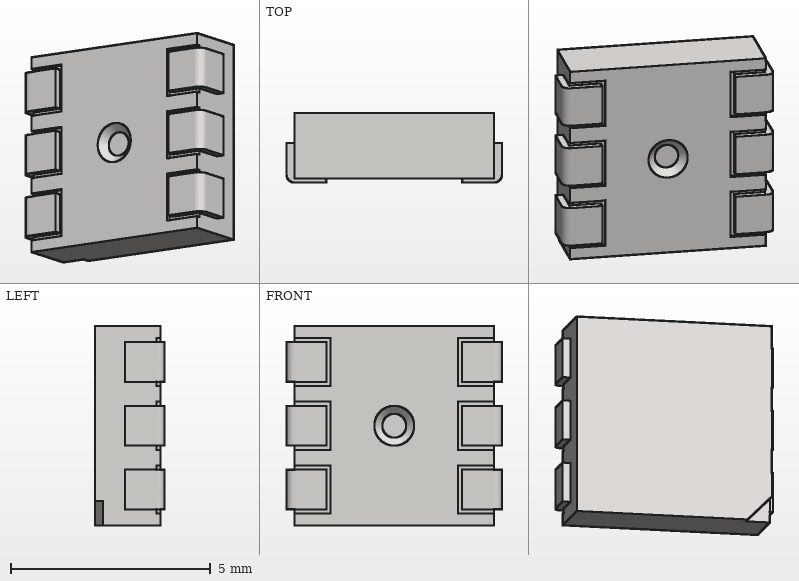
import cadquery as cq

overall_width = 5.4
housing_size = 5.0
overall_depth = 1.75

lead_thickness = (overall_width - housing_size) / 2
lead_length = 1.0
lead_pitch = 1.6
lead_rows = 3
bend_radius = lead_thickness

recess_depth = lead_thickness / 2
recess_clearance = 0.1
recess_length = lead_length - lead_thickness + recess_clearance
recess_width = lead_length + 2 * recess_clearance

dimple_diameter = lead_length
dimple_floor_diameter = 0.6
dimple_depth = lead_thickness

mark_leg = 0.615
mark_depth = 0.21

foot_height = lead_thickness - recess_depth
housing_depth = overall_depth - foot_height
housing_edge = housing_size / 2
row_heights = [(row - (lead_rows - 1) / 2) * lead_pitch for row in range(lead_rows)]
sides = (-1, 1)


def make_recess(side, height):
    """Shallow pocket, open at the housing side, for one lead foot."""
    recess = cq.Workplane("XY").box(recess_length, recess_depth, recess_width)
    return recess.translate((side * (housing_edge - recess_length / 2), recess_depth / 2, height))


def make_dimple():
    """Truncated cone that narrows into the housing."""
    return cq.Workplane(cq.Solid.makeCone(
        dimple_diameter / 2,
        dimple_floor_diameter / 2,
        dimple_depth,
        pnt=cq.Vector(0, 0, 0),
        dir=cq.Vector(0, 1, 0),
    ))


def make_corner_mark():
    """Triangular cut at the lower -X corner of the back face."""
    return (
        cq.Workplane("XZ", origin=(-housing_edge, housing_depth, -housing_edge))
        .polyline([(0, 0), (mark_leg, 0), (0, mark_leg)])
        .close()
        .extrude(mark_depth)
    )


def make_housing():
    """Square block with lead recesses, a central dimple and a corner mark."""
    housing = (
        cq.Workplane("XY")
        .box(housing_size, housing_depth, housing_size)
        .translate((0, housing_depth / 2, 0))
    )
    for side in sides:
        for height in row_heights:
            housing = housing.cut(make_recess(side, height))
    return housing.cut(make_dimple()).cut(make_corner_mark())


def make_lead(side, height):
    """L-shaped lead with one leg on the housing side and a foot in its recess."""
    outer_x = side * overall_width / 2
    inner_x = side * housing_edge
    foot_end_x = side * (overall_width / 2 - lead_length)
    front_y = -foot_height
    outline = [
        (outer_x, front_y),
        (foot_end_x, front_y),
        (foot_end_x, recess_depth),
        (inner_x, recess_depth),
        (inner_x, front_y + lead_length),
        (outer_x, front_y + lead_length),
    ]
    outer_corner = "<X and <Y" if side < 0 else ">X and <Y"
    return (
        cq.Workplane("XY", origin=(0, 0, height - lead_length / 2))
        .polyline(outline)
        .close()
        .extrude(lead_length)
        .edges("|Z")
        .edges(outer_corner)
        .fillet(bend_radius)
    )


housing = make_housing()
leads = [make_lead(side, height) for side in sides for height in row_heights]

result = cq.Compound.makeCompound([housing.solids().val(), *[lead.solids().val() for lead in leads]])